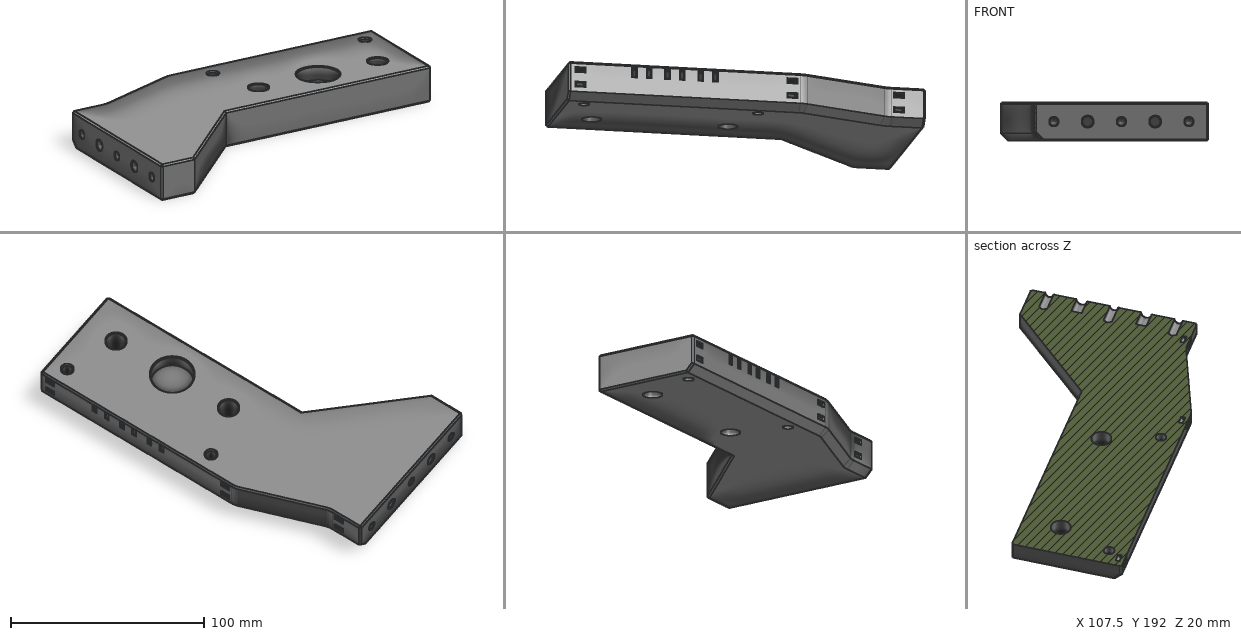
import cadquery as cq
import math

length = 192.0
overall_width = 107.5
thickness = 20.0
arm_width = 59.5
foot_left = 17.5
foot_height = 20.0
bend_height = 67.8
left_bend_radius = 11.5

edge_chamfer = 1.0
underside_chamfer = 4.0

tolerance = 0.02

small_hole_diameter = 5.4
small_hole_chamfer = 0.8
small_hole_x = 9.8
large_hole_diameter = 10.2
large_hole_chamfer = 0.5
large_hole_x = 39.0
arm_center_y = 136.0
small_hole_pitch = 92.0
large_hole_pitch = 72.0

pocket_diameter = 22.3
pocket_depth = 7.7
pocket_chamfer = 0.5

foot_hole_pitch = 17.5
tapped_diameter = 4.2
tapped_depth = 11.5
tapped_chamfer = 0.4
drill_point_angle = 118.0
dowel_diameter = 5.4
dowel_depth = 9.6
dowel_chamfer = 0.48

tunnel_outer_diameter = 9.5
tunnel_inner_diameter = 6.1
tunnel_width = 4.5
mouth_chamfer = 0.5
upright_tunnel_z = 12.0
flat_tunnel_z = 16.0
flat_tunnel_pitch = 17.5
arm_tunnel_ys = (74.0, 185.9)
foot_tunnel_y = 13.8


def edges_at(body, x, y):
    """Selects the upright edge standing at plan position (x, y)."""
    near = cq.selectors.BoxSelector(
        (x - tolerance, y - tolerance, 0),
        (x + tolerance, y + tolerance, thickness),
    )
    return body.edges("|Z").edges(near)


def make_plate():
    right_bend_y = foot_height + overall_width - arm_width
    outline = [
        (foot_left, 0),
        (overall_width, 0),
        (overall_width, foot_height),
        (arm_width, right_bend_y),
        (arm_width, length),
        (0, length),
        (0, bend_height),
        (foot_left, foot_height),
    ]
    plate = cq.Workplane("XY").polyline(outline).close().extrude(thickness)
    for corner in ((0, bend_height), (foot_left, foot_height)):
        plate = edges_at(plate, *corner).fillet(left_bend_radius)

    left_side = cq.selectors.BoxSelector(
        (-tolerance, tolerance, -tolerance),
        (foot_left + tolerance, length - tolerance, tolerance),
    )
    plate = plate.faces("<Z").edges(left_side).chamfer(underside_chamfer)

    right_underside = cq.selectors.BoxSelector(
        (arm_width - tolerance, tolerance, -tolerance),
        (overall_width + tolerance, length - tolerance, tolerance),
    )
    sharp_edges = plate.faces(">Z or <Y or >Y").edges()
    sharp_edges = sharp_edges.add(plate.edges(right_underside))
    return sharp_edges.chamfer(edge_chamfer)


def turned(diameter, depth, chamfer, point_angle=180.0):
    """Cutter along -Z from the origin with a countersunk rim and a flat or drill-point end."""
    radius = diameter / 2
    point = radius / math.tan(math.radians(point_angle / 2))
    profile = cq.Workplane("XZ").moveTo(0, 0).lineTo(radius + chamfer, 0)
    profile = profile.lineTo(radius, -chamfer).lineTo(radius, -depth)
    profile = profile.lineTo(0, -depth - point)
    return profile.close().revolve(360, (0, 0, 0), (0, 1, 0))


def make_through_holes():
    """Cutters for the two small and two large holes, countersunk on the top face."""
    cutters = []
    for diameter, chamfer, x, pitch in (
        (small_hole_diameter, small_hole_chamfer, small_hole_x, small_hole_pitch),
        (large_hole_diameter, large_hole_chamfer, large_hole_x, large_hole_pitch),
    ):
        hole = turned(diameter, thickness, chamfer)
        for side in (-1, 1):
            cutters.append(hole.translate((x, arm_center_y + side * pitch / 2, thickness)))
    return cutters


def make_pocket():
    pocket = turned(pocket_diameter, pocket_depth, pocket_chamfer)
    return pocket.translate((large_hole_x, arm_center_y, thickness))


def make_foot_holes():
    """Cutters for three tapped holes alternating with two dowel holes in the foot end."""
    tapped = turned(tapped_diameter, tapped_depth, tapped_chamfer, drill_point_angle)
    dowel = turned(dowel_diameter, dowel_depth, dowel_chamfer)
    foot_center_x = (foot_left + overall_width) / 2
    cutters = []
    for step in (-2, -1, 0, 1, 2):
        hole = tapped if step % 2 == 0 else dowel
        hole = hole.rotate((0, 0, 0), (1, 0, 0), 90)
        cutters.append(hole.translate((foot_center_x + step * foot_hole_pitch, 0, thickness / 2)))
    return cutters


def make_tunnel():
    """Ring cutter about Y, centered on the face x = 0, with flared mouths where it meets the face."""
    outer = tunnel_outer_diameter / 2
    inner = tunnel_inner_diameter / 2
    ring = cq.Workplane("XZ").circle(outer).circle(inner).extrude(tunnel_width / 2, both=True)
    mouth_height = outer - inner
    for side in (-1, 1):
        mouth = (
            cq.Workplane("YZ", origin=(0, 0, side * (outer + inner) / 2))
            .rect(tunnel_width + 2 * mouth_chamfer, mouth_height + 2 * mouth_chamfer)
            .workplane(offset=mouth_chamfer)
            .rect(tunnel_width, mouth_height)
            .loft()
        )
        ring = ring.union(mouth)
    return ring


def make_tunnels():
    upright = make_tunnel()
    flat = upright.rotate((0, 0, 0), (1, 0, 0), 90)
    cutters = [upright.translate((0, y, upright_tunnel_z)) for y in arm_tunnel_ys]
    cutters.append(upright.translate((foot_left, foot_tunnel_y, upright_tunnel_z)))
    for step in (-1, 0, 1):
        cutters.append(flat.translate((0, arm_center_y + step * flat_tunnel_pitch, flat_tunnel_z)))
    return cutters


result = make_plate()
for cutter in make_through_holes() + [make_pocket()] + make_foot_holes() + make_tunnels():
    result = result.cut(cutter)
result = result.solids()